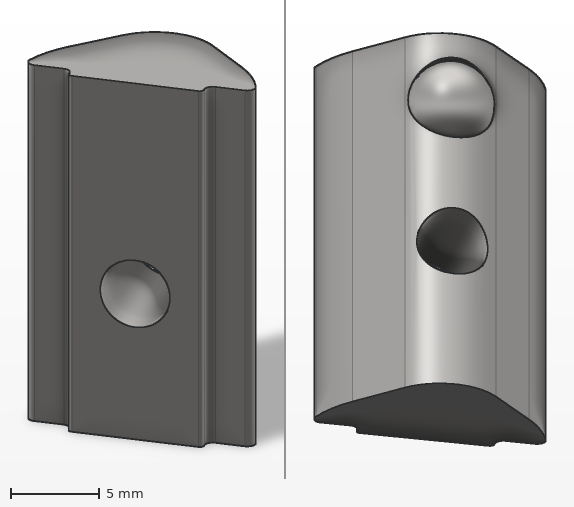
import cadquery as cq
import math

nut_length = 22.0
nut_height = 7.55
crown_radius = 3.75
crown_center_y = nut_height - crown_radius
flank_radius = 6.75
slope = math.radians(45)
quarter_middle = math.pi / 4

wing_half_width = 6.735
wing_tip_radius = 0.5
wing_underside_y = 0.85
wing_tip_x = wing_half_width - wing_tip_radius
wing_tip_y = wing_underside_y + wing_tip_radius

foot_half_width = 4.0
foot_corner_radius = 0.25
foot_fillet_radius = 0.5

screw_hole_diameter = 4.13
screw_hole_z = 9.0
ball_radius = 2.5
ball_y = 6.5
ball_z = 18.0


def point_on_arc(center, radius, angle):
    return (center[0] + radius * math.cos(angle), center[1] + radius * math.sin(angle))


def half_profile():
    """Closed outline of the X >= 0 half of the nut section."""
    crown_center = (0, crown_center_y)
    tip_center = (wing_tip_x, wing_tip_y)

    center_distance = flank_radius - wing_tip_radius
    crown_across = crown_center_y * math.sin(slope)
    tip_across = (wing_tip_x + wing_tip_y) * math.sin(slope)
    offset_across = tip_across - (crown_across + crown_radius - flank_radius)
    tip_angle = math.asin(offset_across / center_distance) - slope
    flank_center = point_on_arc(tip_center, -center_distance, tip_angle)

    corner_center = (foot_half_width - foot_corner_radius, foot_corner_radius)
    fillet_center = (foot_half_width + foot_fillet_radius, wing_underside_y - foot_fillet_radius)

    return (
        cq.Workplane("XY")
        .moveTo(0, 0)
        .lineTo(corner_center[0], 0)
        .threePointArc(
            point_on_arc(corner_center, foot_corner_radius, -quarter_middle),
            (foot_half_width, corner_center[1]),
        )
        .lineTo(foot_half_width, fillet_center[1])
        .threePointArc(
            point_on_arc(fillet_center, foot_fillet_radius, math.pi - quarter_middle),
            (fillet_center[0], wing_underside_y),
        )
        .lineTo(wing_tip_x, wing_underside_y)
        .threePointArc(
            point_on_arc(tip_center, wing_tip_radius, -quarter_middle),
            point_on_arc(tip_center, wing_tip_radius, tip_angle),
        )
        .threePointArc(
            point_on_arc(flank_center, flank_radius, (tip_angle + slope) / 2),
            point_on_arc(flank_center, flank_radius, slope),
        )
        .lineTo(*point_on_arc(crown_center, crown_radius, slope))
        .threePointArc(
            point_on_arc(crown_center, crown_radius, (slope + math.pi / 2) / 2),
            (0, nut_height),
        )
        .close()
    )


def make_ball():
    return cq.Workplane("XY").sphere(ball_radius).translate((0, ball_y, ball_z))


def bore_along_y(radius, start_y, z):
    """Cylinder from start_y out past the crown of the nut."""
    length = 2 * nut_height
    return cq.Workplane("XZ", origin=(0, start_y, z)).circle(radius).extrude(-length)


def make_nut():
    right_half = half_profile().extrude(nut_length)
    body = right_half.union(right_half.mirror("YZ")).clean()
    screw_hole = bore_along_y(screw_hole_diameter / 2, -nut_height / 2, screw_hole_z)
    ball_pocket = bore_along_y(ball_radius, ball_y, ball_z)
    return body.cut(screw_hole).cut(ball_pocket).cut(make_ball()).solids()


nut = make_nut()
ball = make_ball()
result = cq.Compound.makeCompound([nut.val(), ball.val()])